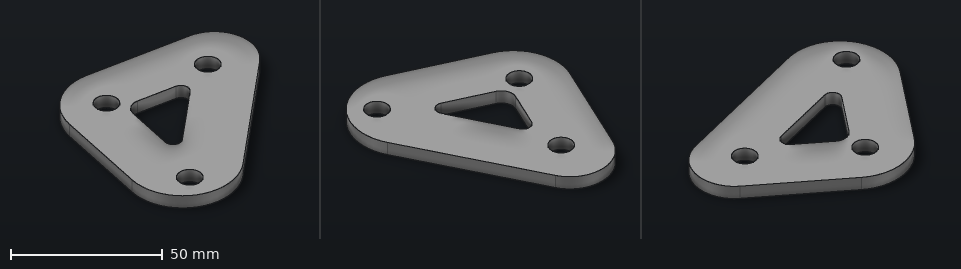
import cadquery as cq
import math

length = 77.5
width = 75.5
thickness = 5.0
large_corner_radius = 20.0
top_corner_radius = 15.0

hole_diameter = 8.75
hole_edge_distance = 16.7
hole_spacing_x = 50.0
hole_spacing_y = 40.0

window_left = 21.4
window_bottom = 20.9
window_length = 27.35
window_height = 23.2
window_corner_radius = 5.0
window_tip_radius = 3.0


def tangent_points(first, second):
    """Ends of the outer tangent between two arcs (x, y, radius) of a counterclockwise outline."""
    x1, y1, r1 = first
    x2, y2, r2 = second
    heading = math.atan2(y2 - y1, x2 - x1)
    distance = math.hypot(x2 - x1, y2 - y1)
    normal = heading - math.acos((r1 - r2) / distance)
    nx, ny = math.cos(normal), math.sin(normal)
    return (x1 + r1 * nx, y1 + r1 * ny), (x2 + r2 * nx, y2 + r2 * ny)


def arc_middle(corner, start, end):
    """Midpoint of a corner arc that turns less than half a circle."""
    x, y, radius = corner
    dx = start[0] + end[0] - 2 * x
    dy = start[1] + end[1] - 2 * y
    scale = radius / math.hypot(dx, dy)
    return (x + dx * scale, y + dy * scale)


def rounded_triangle(left, bottom, size_x, size_y, corner_radius, right_radius, top_radius):
    """Right-angled triangular prism with round corners, sized over the arcs."""
    corners = [
        (left + corner_radius, bottom + corner_radius, corner_radius),
        (left + size_x - right_radius, bottom + right_radius, right_radius),
        (left + top_radius, bottom + size_y - top_radius, top_radius),
    ]
    sides = [tangent_points(corners[i - 1], corners[i]) for i in range(len(corners))]
    outline = cq.Workplane("XY").moveTo(*sides[0][0])
    for i, corner in enumerate(corners):
        arc_start = sides[i][1]
        arc_end = sides[(i + 1) % len(sides)][0]
        outline = outline.lineTo(*arc_start)
        outline = outline.threePointArc(arc_middle(corner, arc_start, arc_end), arc_end)
    return outline.close().extrude(thickness)


plate = rounded_triangle(
    0, 0, length, width, large_corner_radius, large_corner_radius, top_corner_radius
)

window = rounded_triangle(
    window_left, window_bottom, window_length, window_height,
    window_corner_radius, window_tip_radius, window_tip_radius,
)

hole_centers = [
    (hole_edge_distance, hole_edge_distance),
    (hole_edge_distance + hole_spacing_x, hole_edge_distance),
    (hole_edge_distance, hole_edge_distance + hole_spacing_y),
]
holes = cq.Workplane("XY").pushPoints(hole_centers).circle(hole_diameter / 2).extrude(thickness)

result = plate.cut(window).cut(holes)